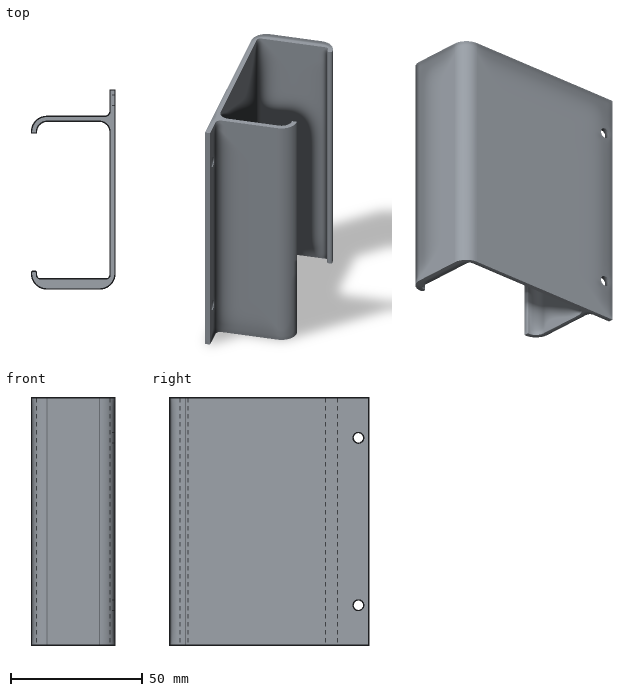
import cadquery as cq

width = 31.9
depth = 76.0
height = 94.5

wall = 2.0
floor_thickness = 2 * wall

flange_length = 10.0
upper_tip_drop = 6.4
lower_tip_rise = 6.9

outer_radius = 6.0
upper_inner_radius = outer_radius - wall
flange_fillet = 2.0
floor_inner_radius = 1.4
upper_tip_radius = 0.3
lower_tip_radius = 0.8

hole_diameter = 4.0
hole_edge_distance = 4.0
hole_end_distance = 15.3

back_inner = width - wall
upper_outer = depth - flange_length
upper_inner = upper_outer - wall
upper_tip = upper_outer - upper_tip_drop

profile = [
    (0, 0),
    (width, 0),
    (width, depth),
    (back_inner, depth),
    (back_inner, upper_outer),
    (0, upper_outer),
    (0, upper_tip),
    (wall, upper_tip),
    (wall, upper_inner),
    (back_inner, upper_inner),
    (back_inner, floor_thickness),
    (wall, floor_thickness),
    (wall, lower_tip_rise),
    (0, lower_tip_rise),
]

rounded_corners = [
    (outer_radius, [(0, 0), (width, 0), (0, upper_outer)]),
    (upper_inner_radius, [(wall, upper_inner), (back_inner, upper_inner)]),
    (flange_fillet, [(back_inner, upper_outer)]),
    (floor_inner_radius, [(back_inner, floor_thickness), (wall, floor_thickness)]),
    (upper_tip_radius, [(0, upper_tip), (wall, upper_tip)]),
    (lower_tip_radius, [(0, lower_tip_rise), (wall, lower_tip_rise)]),
]


def round_corner(body, corner, radius):
    """Fillet the full-height edge standing at one profile corner."""
    x, y = corner
    edge_middle = cq.selectors.NearestToPointSelector((x, y, height / 2))
    return body.edges("|Z").edges(edge_middle).fillet(radius)


def drill_flange(body):
    """Drill one hole through the flange near each end."""
    for z in (hole_end_distance, height - hole_end_distance):
        drill = cq.Solid.makeCylinder(
            hole_diameter / 2,
            width,
            cq.Vector(0, depth - hole_edge_distance, z),
            cq.Vector(1, 0, 0),
        )
        body = body.cut(cq.Workplane(drill))
    return body


result = cq.Workplane("XY").polyline(profile).close().extrude(height)
for corner_radius, corners in rounded_corners:
    for corner_point in corners:
        result = round_corner(result, corner_point, corner_radius)

result = drill_flange(result)